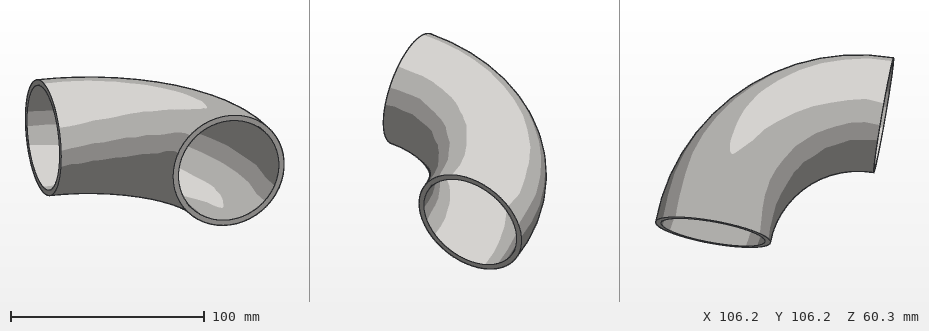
import cadquery as cq

outer_diameter = 60.3
wall_thickness = 2.9
bend_radius = 76.0
bend_angle = 90.0

inner_diameter = outer_diameter - 2 * wall_thickness


def pipe_elbow():
    """Sweep the pipe's ring section about the Z axis, which is the bend axis.

    The section starts on the -X side, as the end face looking toward -Y,
    and turns to the +Y side, where the other end face looks toward +X.
    """
    ring_section = (
        cq.Workplane("XZ")
        .center(-bend_radius, 0)
        .circle(outer_diameter / 2)
        .circle(inner_diameter / 2)
    )
    axis_start = (bend_radius, 0)
    axis_end = (bend_radius, -1)
    return ring_section.revolve(bend_angle, axis_start, axis_end)


result = pipe_elbow()